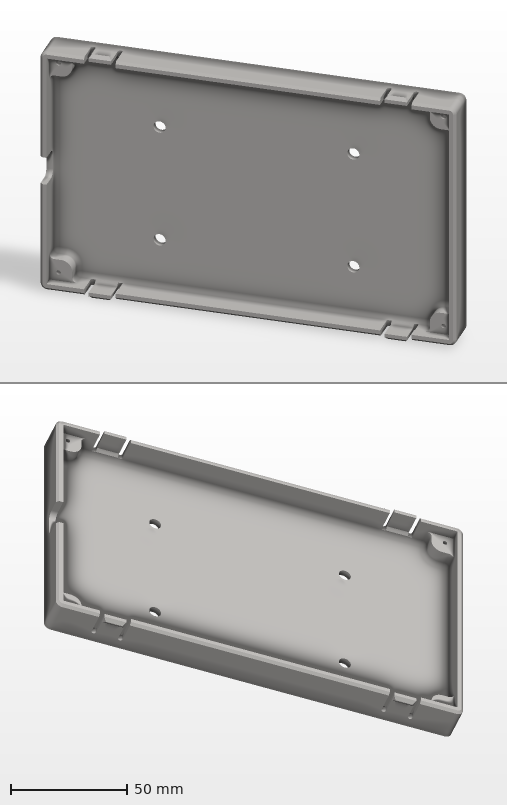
import cadquery as cq

LENGTH = 187.5
DEPTH = 15.5
HEIGHT_OVER_CLIPS = 117.4
CLIP_PROTRUSION = 1.3
HEIGHT = HEIGHT_OVER_CLIPS - 2 * CLIP_PROTRUSION
WALL = 3.0
CORNER_RADIUS = WALL
RIM_CHAMFER = 1.1
INNER_FILLET = 2.0

INNER_LENGTH = LENGTH - 2 * WALL
INNER_HEIGHT = HEIGHT - 2 * WALL
INNER_DEPTH = DEPTH - WALL
RIM_Y = -DEPTH

BOSS_SIZE = 10.1
BOSS_CORNER_RADIUS = 5.0
BOSS_SETBACK = 4.7
PILOT_DIAMETER = 2.0
PILOT_OFFSET = 4.0
PILOT_DEPTH = 5.6

MOUNT_DIAMETER = 5.5
MOUNT_X = 43.7
MOUNT_Z_UPPER = 22.3
MOUNT_Z_LOWER = -32.0

NOTCH_WIDTH = 13.0
NOTCH_DEPTH = 9.4
NOTCH_RADIUS = 3.0

CLIP_X = 66.8
SLOT_PITCH = 12.2
SLOT_WIDTH = 2.0
SLOT_DEPTH = 11.0
TONGUE_WIDTH = SLOT_PITCH - SLOT_WIDTH
TONGUE_THICKNESS = 1.7
RELIEF_DEPTH = 10.3
LIP_BASE = 3.4
LIP_CREST = 0.4
LIP_END_TAPER = 1.1

SIDES = (-1, 1)


def tray():
    """Open box with a chamfered rim."""
    shell = cq.Workplane("XZ").rect(LENGTH, HEIGHT).extrude(DEPTH)
    shell = shell.edges("|Y").fillet(CORNER_RADIUS)
    shell = shell.faces("<Y").edges().chamfer(RIM_CHAMFER)
    cavity = (
        cq.Workplane("XZ", origin=(0, -WALL, 0))
        .rect(INNER_LENGTH, INNER_HEIGHT)
        .extrude(INNER_DEPTH)
    )
    return shell.cut(cavity)


def boss_block(side_x, side_z):
    """Block in one inner corner, rounded on its free edge and sunk into the walls."""
    size = BOSS_SIZE + WALL / 2
    block = (
        cq.Workplane("XZ", origin=(0, -WALL / 2, 0))
        .center(
            side_x * (INNER_LENGTH / 2 - BOSS_SIZE + size / 2),
            side_z * (INNER_HEIGHT / 2 - BOSS_SIZE + size / 2),
        )
        .rect(size, size)
        .extrude(DEPTH - BOSS_SETBACK - WALL / 2)
    )
    side_facing_in_x = "<X" if side_x > 0 else ">X"
    side_facing_in_z = "<Z" if side_z > 0 else ">Z"
    free_edge = block.edges("|Y").edges(side_facing_in_x).edges(side_facing_in_z)
    return free_edge.fillet(BOSS_CORNER_RADIUS)


def floor_outline_edges(body):
    """Edges where the inner walls and the bosses meet the floor."""
    margin = WALL / 10
    floor_zone = cq.selectors.BoxSelector(
        (-LENGTH / 2, -WALL - margin, -HEIGHT / 2),
        (LENGTH / 2, -WALL + margin, HEIGHT / 2),
        boundingbox=True,
    )
    return body.edges(floor_zone)


def boss_wall_edges(body):
    """Concave edges where the boss sides run into the tray walls."""
    half_length = INNER_LENGTH / 2
    half_height = INNER_HEIGHT / 2
    joints = [(half_length - BOSS_SIZE, half_height), (half_length, half_height - BOSS_SIZE)]
    mid_y = (RIM_Y + BOSS_SETBACK - WALL) / 2
    selected = cq.Workplane()
    for x, z in joints:
        for side_x in SIDES:
            for side_z in SIDES:
                joint = (side_x * x, mid_y, side_z * z)
                selected = selected.add(body.edges(cq.selectors.NearestToPointSelector(joint)))
    return selected


def pilot_holes():
    """Blind screw holes in the boss tops."""
    return (
        cq.Workplane("XZ", origin=(0, RIM_Y + BOSS_SETBACK + PILOT_DEPTH, 0))
        .rect(INNER_LENGTH - 2 * PILOT_OFFSET, INNER_HEIGHT - 2 * PILOT_OFFSET, forConstruction=True)
        .vertices()
        .circle(PILOT_DIAMETER / 2)
        .extrude(PILOT_DEPTH)
    )


def mount_holes():
    """Four through holes in the floor."""
    centres = [(side * MOUNT_X, z) for side in SIDES for z in (MOUNT_Z_UPPER, MOUNT_Z_LOWER)]
    return cq.Workplane("XZ").pushPoints(centres).circle(MOUNT_DIAMETER / 2).extrude(WALL)


def cable_notch():
    """Round-cornered opening from the rim through the -X wall only."""
    return (
        cq.Workplane("XY")
        .box(WALL, NOTCH_DEPTH, NOTCH_WIDTH)
        .edges("|X and >Y")
        .fillet(NOTCH_RADIUS)
        .translate((-(LENGTH - WALL) / 2, RIM_Y + NOTCH_DEPTH / 2, 0))
    )


def clip_slots(x):
    """Pair of round-ended slots that free one tongue, for the +Z wall."""
    straight = SLOT_DEPTH - SLOT_WIDTH / 2
    slots = cq.Workplane("XY", origin=(0, 0, HEIGHT / 2 - WALL))
    for side in SIDES:
        left = x + side * SLOT_PITCH / 2 - SLOT_WIDTH / 2
        right = left + SLOT_WIDTH
        slots = (
            slots.moveTo(left, RIM_Y)
            .lineTo(left, RIM_Y + straight)
            .threePointArc((left + SLOT_WIDTH / 2, RIM_Y + SLOT_DEPTH), (right, RIM_Y + straight))
            .lineTo(right, RIM_Y)
            .close()
        )
    return slots.extrude(WALL)


def tongue_relief(x):
    """Pocket that thins the tongue from inside and ramps at 45 degrees up to full wall thickness."""
    thinning = WALL - TONGUE_THICKNESS
    inner_z = INNER_HEIGHT / 2
    return (
        cq.Workplane("YZ", origin=(x - SLOT_PITCH / 2, 0, 0))
        .moveTo(RIM_Y, inner_z)
        .lineTo(RIM_Y + RELIEF_DEPTH, inner_z)
        .lineTo(RIM_Y + RELIEF_DEPTH - thinning, inner_z + thinning)
        .lineTo(RIM_Y, inner_z + thinning)
        .close()
        .extrude(SLOT_PITCH)
    )


def clip_lip(x):
    """Catch on the outside of the tongue, tapered on all four sides."""
    root_z = HEIGHT / 2 - TONGUE_THICKNESS
    lip_centre_y = RIM_Y + LIP_BASE / 2
    foot = (
        cq.Workplane("XY", origin=(x, lip_centre_y, root_z))
        .rect(TONGUE_WIDTH, LIP_BASE)
        .extrude(HEIGHT / 2 - root_z)
    )
    catch = (
        cq.Workplane("XY", origin=(x, lip_centre_y, HEIGHT / 2))
        .rect(TONGUE_WIDTH, LIP_BASE)
        .workplane(offset=CLIP_PROTRUSION)
        .rect(TONGUE_WIDTH - 2 * LIP_END_TAPER, LIP_CREST)
        .loft()
    )
    return foot.union(catch)


def both_walls(feature):
    """A +Z wall feature together with its mirror image on the -Z wall."""
    return feature.union(feature.mirror("XY"))


result = tray()
for side_x in SIDES:
    for side_z in SIDES:
        result = result.union(boss_block(side_x, side_z))
concave_edges = floor_outline_edges(result).add(boss_wall_edges(result))
result = concave_edges.fillet(INNER_FILLET)
result = result.cut(pilot_holes()).cut(mount_holes()).cut(cable_notch())

for side in SIDES:
    clip_x = side * CLIP_X
    result = result.cut(both_walls(tongue_relief(clip_x)))
    result = result.cut(both_walls(clip_slots(clip_x)))
    result = result.union(both_walls(clip_lip(clip_x)))